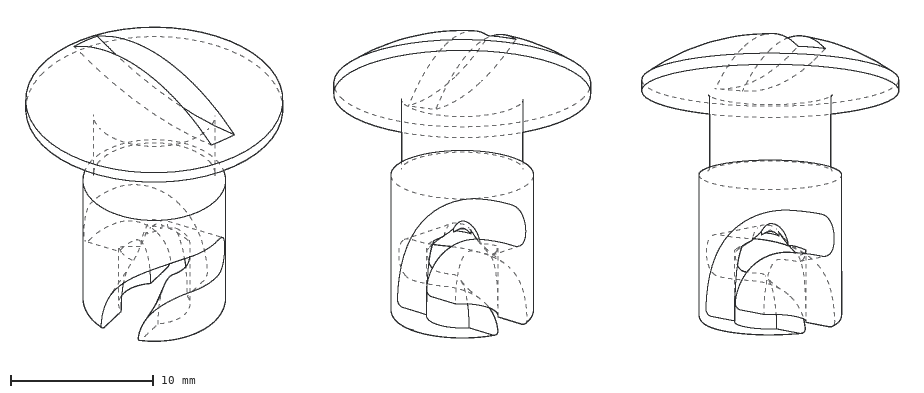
import cadquery as cq
import math

HEAD_RADIUS = 9.0
RIM_BOTTOM_Z = 16.5
RIM_HEIGHT = 0.8
HEAD_TIP_Z = 20.28
RIM_TOP_Z = RIM_BOTTOM_Z + RIM_HEIGHT

DRIVER_SLOT_WIDTH = 2.05
DRIVER_SLOT_END_Z = 18.1
DRIVER_SLOT_END_X = 7.8
DRIVER_SLOT_FLOOR_RADIUS = 34.0

NECK_RADIUS = 4.25
BODY_RADIUS = 5.0
BODY_TOP_Z = 10.5
NECK_FILLET = 0.5
BODY_EDGE_FILLET = 0.5

BORE_RADIUS = 2.5
BORE_DEPTH = 5.05
DRILL_POINT_ANGLE = 118.0
BORE_TIP_HEIGHT = BORE_RADIUS / math.tan(math.radians(DRILL_POINT_ANGLE / 2))

CAM_SLOT_WIDTH = 3.0
CAM_SLOT_LEVEL_Z = 5.45
CAM_SLOT_FLOOR_RADIUS = 0.3
CAM_SLOT_END_ANGLE = -24.0
CAM_ARC_START = 0.58
CAM_ARC_RUNOUT = 12.0
CAM_CUT_CLEARANCE = 0.5
CAM_CUT_RADIUS = BODY_RADIUS + CAM_CUT_CLEARANCE
CAM_HALF_WIDTH = CAM_SLOT_WIDTH / 2
CAM_ARC_STATIONS = 13


def make_turned_body():
    """Head, neck and body as one revolved profile about Z."""
    dome_height = HEAD_TIP_Z - RIM_TOP_Z
    dome_radius = (HEAD_RADIUS**2 + dome_height**2) / (2 * dome_height)
    dome_mid_x = HEAD_RADIUS / 2
    dome_mid_z = HEAD_TIP_Z - dome_radius + math.sqrt(dome_radius**2 - dome_mid_x**2)
    flare_radius = NECK_RADIUS + NECK_FILLET
    profile = (
        cq.Workplane("XZ")
        .lineTo(BODY_RADIUS - BODY_EDGE_FILLET, 0)
        .radiusArc((BODY_RADIUS, BODY_EDGE_FILLET), -BODY_EDGE_FILLET)
        .lineTo(BODY_RADIUS, BODY_TOP_Z)
        .lineTo(flare_radius, BODY_TOP_Z)
        .radiusArc((NECK_RADIUS, BODY_TOP_Z + NECK_FILLET), NECK_FILLET)
        .lineTo(NECK_RADIUS, RIM_BOTTOM_Z - NECK_FILLET)
        .radiusArc((flare_radius, RIM_BOTTOM_Z), NECK_FILLET)
        .lineTo(HEAD_RADIUS, RIM_BOTTOM_Z)
        .lineTo(HEAD_RADIUS, RIM_TOP_Z)
        .threePointArc((dome_mid_x, dome_mid_z), (0, HEAD_TIP_Z))
        .close()
    )
    return profile.revolve(360, (0, 0, 0), (0, 1, 0))


def make_driver_slot():
    """Slot across the dome with a floor dished along its length."""
    sag = DRIVER_SLOT_FLOOR_RADIUS - math.sqrt(DRIVER_SLOT_FLOOR_RADIUS**2 - DRIVER_SLOT_END_X**2)
    return (
        cq.Workplane("XZ")
        .moveTo(-DRIVER_SLOT_END_X, DRIVER_SLOT_END_Z)
        .threePointArc((0, DRIVER_SLOT_END_Z - sag), (DRIVER_SLOT_END_X, DRIVER_SLOT_END_Z))
        .lineTo(DRIVER_SLOT_END_X, HEAD_TIP_Z)
        .lineTo(-DRIVER_SLOT_END_X, HEAD_TIP_Z)
        .close()
        .extrude(DRIVER_SLOT_WIDTH / 2, both=True)
    )


def make_bore():
    """Cylindrical hole with a conical drill point."""
    return (
        cq.Workplane("XZ")
        .lineTo(BORE_RADIUS, 0)
        .lineTo(BORE_RADIUS, BORE_DEPTH)
        .lineTo(0, BORE_DEPTH + BORE_TIP_HEIGHT)
        .close()
        .revolve(360, (0, 0, 0), (0, 1, 0))
    )


def cam_point(turn, radius, side):
    """Point on a slot wall of the quarter arc.

    turn: centreline direction on the body surface, measured downward from level
    radius: distance inward or outward along the radial slot direction
    side: offset across the slot, positive on the upper, outer side of the turn
    """
    angle = (CAM_ARC_START + CAM_SLOT_LEVEL_Z * math.sin(turn)) / BODY_RADIUS
    offset = side * math.sin(turn)
    x = -radius * math.cos(angle) + offset * math.sin(angle)
    y = radius * math.sin(angle) + offset * math.cos(angle)
    z = (CAM_SLOT_LEVEL_Z + side) * math.cos(turn)
    return cq.Vector(x, y, z)


def make_cam_downturn():
    """Quarter-arc part of the slot as a solid with ruled walls and flat ends."""
    corners = [
        (CAM_SLOT_FLOOR_RADIUS, -CAM_HALF_WIDTH),
        (CAM_CUT_RADIUS, -CAM_HALF_WIDTH),
        (CAM_CUT_RADIUS, CAM_HALF_WIDTH),
        (CAM_SLOT_FLOOR_RADIUS, CAM_HALF_WIDTH),
    ]
    step = math.radians(90 + CAM_ARC_RUNOUT) / (CAM_ARC_STATIONS - 1)
    turns = [step * i for i in range(CAM_ARC_STATIONS)]
    tracks = [[cam_point(turn, *corner) for turn in turns] for corner in corners]
    edges = [cq.Edge.makeSpline(track, parameters=turns) for track in tracks]
    faces = [cq.Face.makeRuledSurface(edges[i - 1], edges[i]) for i in range(len(edges))]
    for end in (0, -1):
        outline = cq.Wire.makePolygon([track[end] for track in tracks], close=True)
        faces.append(cq.Face.makeFromWires(outline))
    return cq.Workplane(cq.Solid.makeSolid(cq.Shell.makeShell(faces)))


def make_cam_slot_cutters():
    """Cutters that together form the bayonet slot on the -X side."""
    arc_start_angle = math.degrees(CAM_ARC_START / BODY_RADIUS)
    radial_depth = CAM_CUT_RADIUS - CAM_SLOT_FLOOR_RADIUS
    mid_radius = CAM_CUT_RADIUS - radial_depth / 2
    level_run = (
        cq.Workplane("XZ")
        .center(-mid_radius, CAM_SLOT_LEVEL_Z)
        .rect(radial_depth, CAM_SLOT_WIDTH)
        .revolve(arc_start_angle - CAM_SLOT_END_ANGLE, (mid_radius, 0, 0), (mid_radius, -1, 0))
        .rotate((0, 0, 0), (0, 0, 1), -CAM_SLOT_END_ANGLE)
    )

    rounded_end = (
        cq.Workplane("YZ")
        .center(0, CAM_SLOT_LEVEL_Z)
        .circle(CAM_HALF_WIDTH)
        .extrude(radial_depth)
        .translate((CAM_SLOT_FLOOR_RADIUS, 0, 0))
        .rotate((0, 0, 0), (0, 0, 1), 180 - CAM_SLOT_END_ANGLE)
    )
    return [level_run, make_cam_downturn(), rounded_end]


result = make_turned_body().cut(make_driver_slot()).cut(make_bore())
for cutter in make_cam_slot_cutters():
    result = result.cut(cutter)
    result = result.cut(cutter.rotate((0, 0, 0), (0, 0, 1), 180))